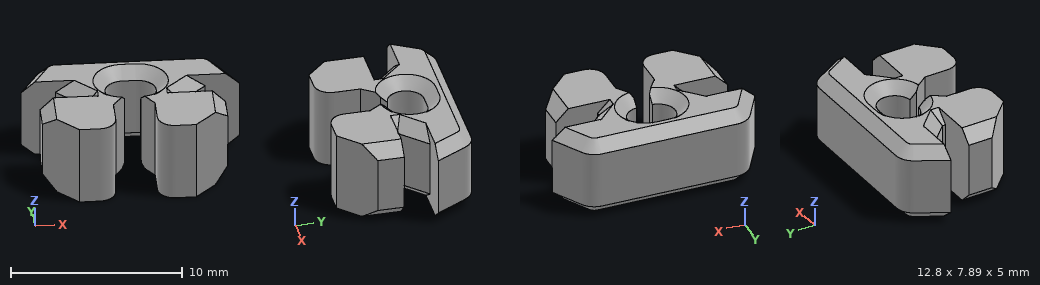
import cadquery as cq
import math

width = 12.8
height = 5.0
back_y = 2.78
front_y = -5.11

flange_front_y = 0.3
flange_slope = math.radians(30)
flange_corner_radius = 1.2
flange_chamfer = 0.7

neck_half_width = 2.8
neck_start_y = -1.29
web_chamfer = 0.78
web_overlap = 0.9

foot_half_width = 5.43
foot_back_y = -1.51
foot_corner_cut = 2.01
foot_inner_radius = 1.0
foot_chamfer = 0.78

hole_radius = 1.09
hole_centre_spacing = 0.82
hole_chamfer = 0.7
throat_half_width = 0.49
throat_end_y = -1.52
channel_half_width = 1.22
channel_start_y = -2.55


def prism(half_outline):
    """Full-height solid from the +X half of an outline, mirrored about the YZ plane."""
    mirrored = [(-x, y) for x, y in reversed(half_outline)]
    return cq.Workplane("XY").polyline(half_outline + mirrored).close().extrude(height / 2, both=True)


def make_flange():
    back_half_width = width / 2 - (back_y - flange_front_y) * math.tan(flange_slope)
    body = prism([(width / 2, flange_front_y), (back_half_width, back_y)])
    body = body.edges("|Z and >Y").fillet(flange_corner_radius)
    return body.faces("<Z or >Z").edges("not <Y").chamfer(flange_chamfer)


def make_web():
    web_back_y = flange_front_y + web_overlap
    flared_half_width = neck_half_width + web_back_y - neck_start_y
    body = prism([
        (neck_half_width, foot_back_y - web_overlap),
        (neck_half_width, neck_start_y),
        (flared_half_width, web_back_y),
    ])
    return body.faces("<Z or >Z").edges("not (<Y or >Y)").chamfer(web_chamfer)


def make_feet():
    body = prism([
        (foot_half_width - foot_corner_cut, front_y),
        (foot_half_width, front_y + foot_corner_cut),
        (foot_half_width, foot_back_y),
    ])
    for side in ("<X", ">X"):
        body = body.faces(side).edges("|Y").chamfer(foot_chamfer)
    return body


def make_hole():
    slot_length = hole_centre_spacing + 2 * hole_radius
    cutter = cq.Workplane("XY").slot2D(slot_length, 2 * hole_radius).extrude(height / 2, both=True)
    countersink = (
        cq.Workplane("XY", origin=(0, 0, height / 2))
        .slot2D(slot_length + 2 * hole_chamfer, 2 * (hole_radius + hole_chamfer))
        .extrude(-hole_chamfer, taper=45)
    )
    return cutter.union(countersink).union(countersink.mirror("XY"))


def make_channel():
    return prism([
        (channel_half_width, front_y),
        (channel_half_width, channel_start_y),
        (throat_half_width, throat_end_y),
        (throat_half_width, 0),
    ])


body = make_flange().union(make_web()).union(make_feet()).cut(make_channel())

selection_margin = 0.13
inner_corners = cq.selectors.BoxSelector(
    (-channel_half_width - selection_margin, front_y - selection_margin, -height),
    (channel_half_width + selection_margin, front_y + selection_margin, height),
)
body = body.edges("|Z").edges(inner_corners).fillet(foot_inner_radius)

result = body.cut(make_hole())